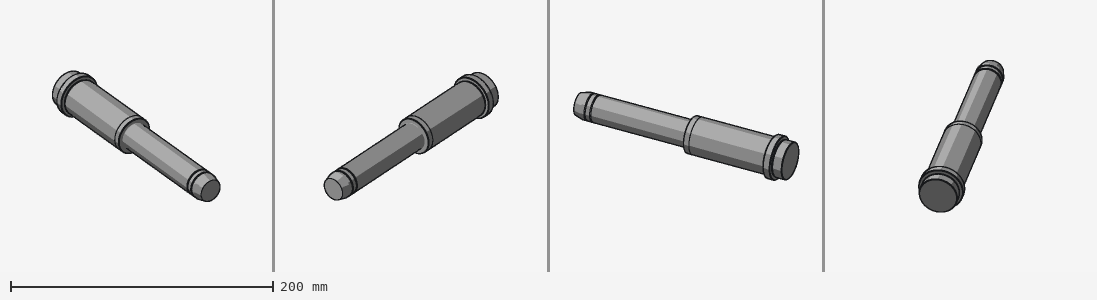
import cadquery as cq
import math

total_length = 180.0
collar_start = 9.0
collar_width = 6.0
body_end = 84.0
lead_in_length = 5.0
tip_length = 7.0

body_diameter = 30.0
lead_in_diameter = 29.96
collar_diameter = 35.0
shank_diameter = 22.0

edge_chamfer = 0.5
relief_width = 1.0
relief_depth = 0.5
shank_root_fillet = 0.5
tip_angle = 15.0
oil_groove_radius = 0.5
oil_groove_centers = (165.0, 169.8)

collar_end = collar_start + collar_width
body_radius = body_diameter / 2
lead_in_radius = lead_in_diameter / 2
shank_radius = shank_diameter / 2
tip_radius = shank_radius - tip_length * math.tan(math.radians(tip_angle))


def cylinder_along_x(start, length, diameter):
    """Solid cylinder on the X axis."""
    return cq.Workplane("YZ", origin=(start, 0, 0)).circle(diameter / 2).extrude(length)


def ring_groove(start, width, depth, surface_diameter):
    """Ring to cut from a round surface, leaving a square groove."""
    floor_diameter = surface_diameter - 2 * depth
    ring = cylinder_along_x(start, width, surface_diameter + 2 * depth)
    return ring.cut(cylinder_along_x(start, width, floor_diameter))


def round_groove(center, groove_radius, surface_radius):
    """Torus to cut from a round surface, leaving a half-round groove."""
    section = cq.Workplane("XZ").center(center, surface_radius).circle(groove_radius)
    return section.revolve(360, (-center, -surface_radius, 0), (0, -surface_radius, 0))


def make_core():
    """Turned body and shank with the slim lead-in, chamfered body ends, root fillet and tapered tip."""
    profile = (
        cq.Workplane("XZ")
        .lineTo(0, body_radius - edge_chamfer)
        .lineTo(edge_chamfer, body_radius)
        .lineTo(body_end - lead_in_length, body_radius)
        .lineTo(body_end - lead_in_length, lead_in_radius)
        .lineTo(body_end - edge_chamfer, lead_in_radius)
        .lineTo(body_end, lead_in_radius - edge_chamfer)
        .lineTo(body_end, shank_radius + shank_root_fillet)
        .radiusArc((body_end + shank_root_fillet, shank_radius), -shank_root_fillet)
        .lineTo(total_length - tip_length, shank_radius)
        .lineTo(total_length, tip_radius)
        .lineTo(total_length, 0)
        .close()
    )
    return profile.revolve(360, (0, 0, 0), (1, 0, 0))


def make_collar():
    """Locating collar with both rims chamfered."""
    return cylinder_along_x(collar_start, collar_width, collar_diameter).edges().chamfer(edge_chamfer)


result = make_core()

for relief_start in (collar_start - relief_width, collar_end):
    result = result.cut(ring_groove(relief_start, relief_width, relief_depth, body_diameter))

result = result.union(make_collar())

for groove_center in oil_groove_centers:
    result = result.cut(round_groove(groove_center, oil_groove_radius, shank_radius))